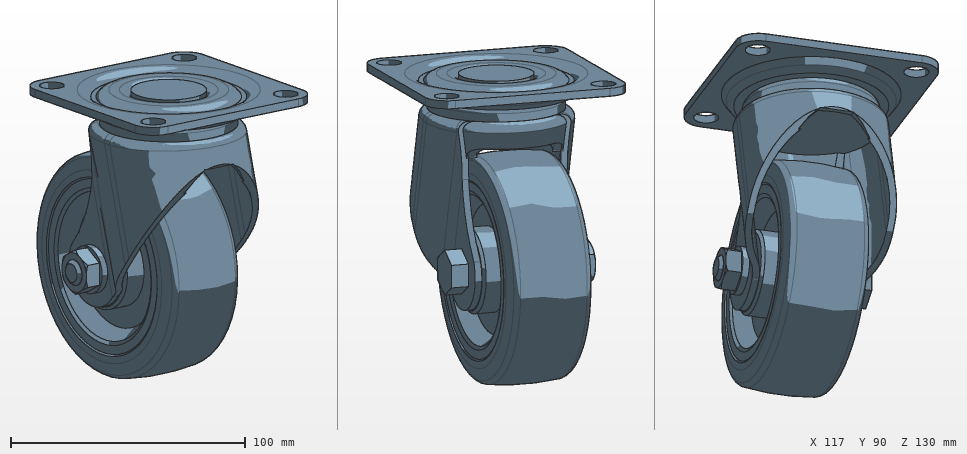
import cadquery as cq
import math


plate_size = 90.0
plate_thickness = 3.5
plate_corner_radius = 10.0
bolt_hole_pitch = 71.0
bolt_hole_diameter = 10.6
plate_bottom_z = -8.8
dish_depth = 3.0
groove_outer_rim = 39.0
groove_floor_outer = 33.2
groove_floor_inner = 31.0
land_outer = 25.5
land_inner = 21.0
pin_radius = 16.1
pin_groove_depth = 2.7
dish_underside_radius = 38.3
dish_knee_radius = 36.2
dish_knee_z = -6.4
dish_floor_radius = 33.0

axle_x = -22.0
axle_z = -80.0
axle_radius = 5.6

sheet = 3.0
crown_radius = 29.5
crown_shoulder_drop = 2.4
crown_shoulder_inset = 1.0
fork_top_z = -14.8
fork_edge_radius = 3.8
skirt_radius = 32.6
skirt_side_center_x = -3.6
skirt_rear_center_x = 0.1
skirt_rake = math.radians(16.0)
front_wall_center_x = -0.5
front_wall_rake = math.radians(7.0)
leg_half_width = 23.8
leg_blend_radius = 11.0
leg_reach = 70.0
fork_stock_depth = 90.0
leg_front_x = -22.7
leg_front_bottom_z = -40.0
leg_front_curve = [(-25.8, -53.6), (-32.0, -66.0)]
leg_boss_radius = 16.7
boss_front_degrees = 155
boss_rear_degrees = -35
rear_tip = (35.8, -24.8)
rear_edge_middle = (17.8, -61.5)
rear_bevel_corners = [(16.0, -36.0), (12.0, -30.5), (7.5, -26.3)]
front_wall_bottom_z = -26.3
front_arch_radius = 4.5

wheel_radius = 50.0
wheel_half_width = 19.0
tread_edge_radius = 49.0
tread_half_width = 15.1
tyre_shoulder_radius = 47.2
tyre_shoulder_half_width = 17.5
tyre_edge_middle = (16.6, 48.4)
tyre_flank_radius = 41.9
tyre_inner_radius = 38.8
rim_face_radius = 38.0
rim_face_half_width = 18.5
rim_lip_radius = 34.1
recess_top_radius = 32.5
recess_top_half_width = 17.6
web_outer_radius = 28.0
web_half_width = 10.6
hub_radius = 18.5
hub_chamfer = 1.3
hub_half_width = leg_half_width - sheet

hex_across_flats = 17.0
head_thickness = 7.7
bolt_tip_y = -35.5
bolt_tip_chamfer = 1.5
flange_radius = 10.4
flange_thickness = 3.0
nut_thickness = 7.0
nut_chamfer_radius = 8.6
nut_chamfer_angle = math.radians(30.0)


def level_arc_middle(flat_end, low_end):
    """Middle of the arc that leaves flat_end horizontally and drops to low_end."""
    run = low_end[0] - flat_end[0]
    drop = flat_end[1] - low_end[1]
    radius = (run**2 + drop**2) / (2 * drop)
    half_sweep = math.atan2(drop, abs(run))
    return (
        flat_end[0] + math.copysign(radius * math.sin(half_sweep), run),
        flat_end[1] - radius * (1 - math.cos(half_sweep)),
    )


def make_plate():
    sheet_body = (
        cq.Workplane("XY")
        .rect(plate_size, plate_size)
        .extrude(-plate_thickness)
        .edges("|Z")
        .fillet(plate_corner_radius)
        .faces(">Z")
        .workplane()
        .rect(bolt_hole_pitch, bolt_hole_pitch, forConstruction=True)
        .vertices()
        .hole(bolt_hole_diameter)
    )
    floor_end = (dish_floor_radius, plate_bottom_z)
    knee = (dish_knee_radius, dish_knee_z)
    dish = (
        cq.Workplane("XZ")
        .moveTo(0, 0)
        .lineTo(dish_underside_radius, 0)
        .lineTo(dish_underside_radius, -plate_thickness)
        .lineTo(*knee)
        .tangentArcPoint(floor_end, relative=False)
        .lineTo(0, plate_bottom_z)
        .close()
        .revolve(360, (0, 0, 0), (0, 1, 0))
    )
    outer_rim = (groove_outer_rim, 0)
    floor_outer = (groove_floor_outer, -dish_depth)
    floor_inner = (groove_floor_inner, -dish_depth)
    land_edge = (land_outer, 0)
    groove = (
        cq.Workplane("XZ")
        .moveTo(*outer_rim)
        .threePointArc(level_arc_middle(outer_rim, floor_outer), floor_outer)
        .lineTo(*floor_inner)
        .threePointArc(level_arc_middle(land_edge, floor_inner), land_edge)
        .close()
        .revolve(360, (0, 0, 0), (0, 1, 0))
    )
    pin_rim = (land_inner, 0)
    pin_foot = (pin_radius, -pin_groove_depth)
    pin_groove = (
        cq.Workplane("XZ")
        .moveTo(*pin_rim)
        .threePointArc(level_arc_middle(pin_rim, pin_foot), pin_foot)
        .lineTo(pin_radius, 0)
        .close()
        .revolve(360, (0, 0, 0), (0, 1, 0))
    )
    return sheet_body.union(dish).cut(groove).cut(pin_groove)


def raked_prism(outline, top_z, rake):
    """Extrude an outline from top_z downward, leaning rearward by the rake angle."""
    lean = math.tan(rake)
    rearward = (fork_top_z - top_z) * lean
    wire = outline.wire().val().moved(cq.Location(cq.Vector(rearward, 0, top_z)))
    travel = cq.Vector(fork_stock_depth * lean, 0, -fork_stock_depth)
    return cq.Workplane(obj=cq.Solid.extrudeLinear(wire, [], travel))


def front_wall_outline(inset):
    return cq.Workplane("XY").center(front_wall_center_x, 0).circle(skirt_radius - inset)


def leg_outline(inset):
    """Flat legs running forward, blended into the round rear skirt."""
    radius = skirt_radius - inset
    half_width = leg_half_width - inset
    blend = leg_blend_radius + inset
    blend_y = half_width + blend
    blend_x = -math.sqrt((radius + blend) ** 2 - blend_y**2)
    share = radius / (radius + blend)
    touch = (blend_x * share, blend_y * share)
    blend_angle = math.atan2(-blend_x, blend_y) / 2
    blend_middle = (blend_x + blend * math.sin(blend_angle), blend_y - blend * math.cos(blend_angle))
    side_angle = (math.atan2(touch[1], touch[0]) + math.pi / 2) / 2
    side = (radius * math.cos(side_angle), radius * math.sin(side_angle))
    straight = skirt_rear_center_x - skirt_side_center_x
    return (
        cq.Workplane("XY")
        .center(skirt_side_center_x, 0)
        .moveTo(-leg_reach, half_width)
        .lineTo(blend_x, half_width)
        .threePointArc(blend_middle, touch)
        .threePointArc(side, (0, radius))
        .lineTo(straight, radius)
        .threePointArc((straight + radius, 0), (straight, -radius))
        .lineTo(0, -radius)
        .threePointArc((side[0], -side[1]), (touch[0], -touch[1]))
        .threePointArc((blend_middle[0], -blend_middle[1]), (blend_x, -half_width))
        .lineTo(-leg_reach, -half_width)
        .close()
    )


def pressed_shell(outline, rake):
    """Sheet-metal cap: raked outer form with a rounded top edge, hollowed to the sheet thickness."""
    outer = raked_prism(outline(0), fork_top_z, rake).faces(">Z").edges().fillet(fork_edge_radius)
    return outer.cut(raked_prism(outline(sheet), fork_top_z - sheet, rake))


def boss_point(degrees):
    """X, Z of a point on the rounded leg end around the axle."""
    angle = math.radians(degrees)
    return (axle_x + leg_boss_radius * math.cos(angle), axle_z + leg_boss_radius * math.sin(angle))


def make_legs():
    """Both legs and the rear skirt, trimmed to their side outline."""
    side_outline = (
        cq.Workplane("XZ")
        .moveTo(leg_front_x, fork_top_z)
        .lineTo(leg_front_x, leg_front_bottom_z)
        .spline([*leg_front_curve, boss_point(boss_front_degrees)], includeCurrent=True)
        .threePointArc(boss_point(-90), boss_point(boss_rear_degrees))
        .threePointArc(rear_edge_middle, rear_tip)
        .lineTo(rear_tip[0], fork_top_z)
        .close()
        .extrude(plate_size / 2, both=True)
    )
    rear_bevel = (
        cq.Workplane("YZ")
        .polyline([*rear_bevel_corners, *[(-y, z) for y, z in reversed(rear_bevel_corners)]])
        .close()
        .extrude(plate_size / 2)
    )
    return pressed_shell(leg_outline, skirt_rake).intersect(side_outline).cut(rear_bevel)


def make_front_wall():
    """Short wall in front of the legs, arched down into their front edges."""
    arch_end_z = front_wall_bottom_z - front_arch_radius
    side_outline = (
        cq.Workplane("XZ")
        .moveTo(-plate_size / 2, fork_top_z)
        .lineTo(-plate_size / 2, front_wall_bottom_z)
        .lineTo(leg_front_x - front_arch_radius, front_wall_bottom_z)
        .tangentArcPoint((leg_front_x, arch_end_z), relative=False)
        .lineTo(leg_front_x, fork_top_z)
        .close()
        .extrude(plate_size / 2, both=True)
    )
    return pressed_shell(front_wall_outline, front_wall_rake).intersect(side_outline)


def make_crown():
    """Round boss on top of the fork that carries the plate."""
    shoulder = (crown_radius, plate_bottom_z - crown_shoulder_drop)
    crown_top = (crown_radius - crown_shoulder_inset, plate_bottom_z)
    return (
        cq.Workplane("XZ")
        .moveTo(0, fork_top_z - sheet)
        .lineTo(crown_radius - sheet, fork_top_z - sheet)
        .lineTo(crown_radius, fork_top_z)
        .lineTo(*shoulder)
        .tangentArcPoint(crown_top, relative=False)
        .lineTo(0, plate_bottom_z)
        .close()
        .revolve(360, (0, 0, 0), (0, 1, 0))
    )


def make_fork():
    axle_hole = axle_cylinder(axle_radius, leg_half_width, -leg_half_width)
    return make_legs().union(make_front_wall()).union(make_crown()).cut(axle_hole)


def axle_plane(y):
    """Plane across the axle at the given Y, facing -Y."""
    return cq.Workplane(cq.Plane(origin=(axle_x, y, axle_z), xDir=(1, 0, 0), normal=(0, -1, 0)))


def axle_cylinder(radius, start_y, end_y):
    return axle_plane(start_y).circle(radius).extrude(start_y - end_y)


def hexagon(start_y, end_y):
    """Hexagonal prism on the axle with corners at the top and bottom."""
    corner_diameter = hex_across_flats / math.cos(math.pi / 6)
    prism = axle_plane(start_y).polygon(6, corner_diameter).extrude(start_y - end_y)
    return prism.rotate((axle_x, 0, axle_z), (axle_x, 1, axle_z), 30)


def make_wheel():
    half_profile = [
        (wheel_half_width, tyre_flank_radius),
        (wheel_half_width, tyre_inner_radius),
        (rim_face_half_width, rim_face_radius),
        (rim_face_half_width, rim_lip_radius),
        (recess_top_half_width, recess_top_radius),
        (web_half_width, web_outer_radius),
        (web_half_width, hub_radius),
        (hub_half_width - hub_chamfer, hub_radius),
        (hub_half_width, hub_radius - hub_chamfer),
        (hub_half_width, axle_radius),
    ]
    mirrored_profile = [(-y, radius) for y, radius in reversed(half_profile)]
    profile = (
        cq.Workplane("YZ")
        .moveTo(-tyre_shoulder_half_width, tyre_shoulder_radius)
        .threePointArc((-tyre_edge_middle[0], tyre_edge_middle[1]), (-tread_half_width, tread_edge_radius))
        .threePointArc((0, wheel_radius), (tread_half_width, tread_edge_radius))
        .threePointArc(tyre_edge_middle, (tyre_shoulder_half_width, tyre_shoulder_radius))
    )
    for y, radius in half_profile + mirrored_profile:
        profile = profile.lineTo(y, radius)
    wheel = profile.close().revolve(360, (0, 0, 0), (1, 0, 0))
    return wheel.translate((axle_x, 0, axle_z))


def make_bolt():
    head = hexagon(leg_half_width + head_thickness, leg_half_width)
    shank = axle_cylinder(axle_radius, leg_half_width, bolt_tip_y)
    return head.union(shank.faces("<Y").chamfer(bolt_tip_chamfer))


def make_nut():
    seat_y = -leg_half_width
    hex_y = seat_y - flange_thickness
    end_y = hex_y - nut_thickness
    chamfer_blank_radius = nut_chamfer_radius + nut_thickness / math.tan(nut_chamfer_angle)
    chamfer_cone = (
        axle_plane(hex_y)
        .circle(chamfer_blank_radius)
        .workplane(offset=nut_thickness)
        .circle(nut_chamfer_radius)
        .loft(ruled=True)
    )
    flange = axle_cylinder(flange_radius, seat_y, hex_y)
    body = hexagon(hex_y, end_y).intersect(chamfer_cone)
    return flange.union(body).cut(axle_cylinder(axle_radius, seat_y, end_y))


plate = make_plate()
fork = make_fork()
wheel = make_wheel()
bolt = make_bolt()
nut = make_nut()

result = cq.Compound.makeCompound([plate.val(), fork.val(), wheel.val(), bolt.val(), nut.val()])